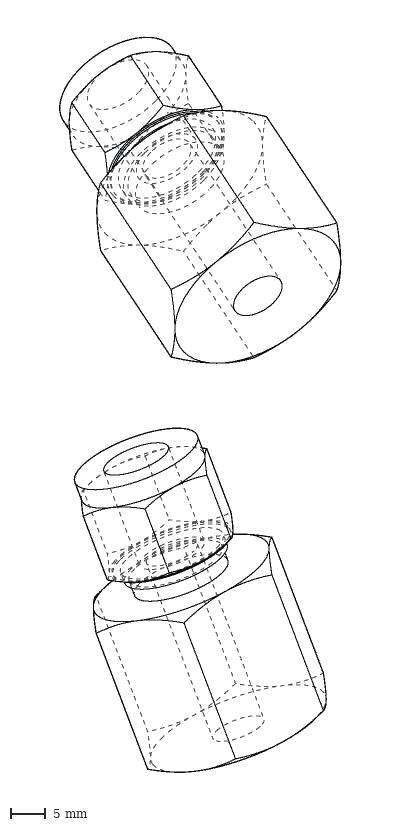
import cadquery as cq
import math


collar_end = 3.0
nut_end = 15.15
washer_end = 15.45
shoulder_end = 17.15
neck_end = 19.5
total_length = 44.2

nut_flats = 19.0
body_flats = 27.0
corner_chamfer_angle = 30.0
cone_overrun = 0.45

collar_diameter = nut_flats
washer_diameter = 18.2
shoulder_diameter = 15.85
neck_diameter = 14.45

socket_diameter = 10.0
socket_depth = washer_end
bore_diameter = 7.9


def cylinder(start, end, diameter):
    """Round section between two axial positions."""
    return cq.Workplane("YZ", origin=(start, 0, 0)).circle(diameter / 2).extrude(end - start)


def chamfered_hexagon(start, end, flats):
    """Hexagon whose corners are turned down to the flats at both ends."""
    flat_radius = flats / 2
    corner_radius = flat_radius / math.cos(math.pi / 6)
    cone_radius = corner_radius + cone_overrun
    cone_length = (cone_radius - flat_radius) * math.tan(math.radians(corner_chamfer_angle))
    prism = (
        cq.Workplane("YZ", origin=(start, 0, 0))
        .transformed(rotate=(0, 0, 90))
        .polygon(6, 2 * corner_radius)
        .extrude(end - start)
    )
    turned_blank = (
        cq.Workplane("XY")
        .polyline([
            (start, 0),
            (start, flat_radius),
            (start + cone_length, cone_radius),
            (end - cone_length, cone_radius),
            (end, flat_radius),
            (end, 0),
        ])
        .close()
        .revolve(360, (0, 0, 0), (1, 0, 0))
    )
    return prism.intersect(turned_blank)


fitting = (
    cylinder(0, collar_end, collar_diameter)
    .union(chamfered_hexagon(collar_end, nut_end, nut_flats))
    .union(cylinder(nut_end, washer_end, washer_diameter))
    .union(cylinder(washer_end, shoulder_end, shoulder_diameter))
    .union(cylinder(shoulder_end, neck_end, neck_diameter))
    .union(chamfered_hexagon(neck_end, total_length, body_flats))
)

result = (
    fitting
    .cut(cylinder(0, socket_depth, socket_diameter))
    .cut(cylinder(0, total_length, bore_diameter))
)